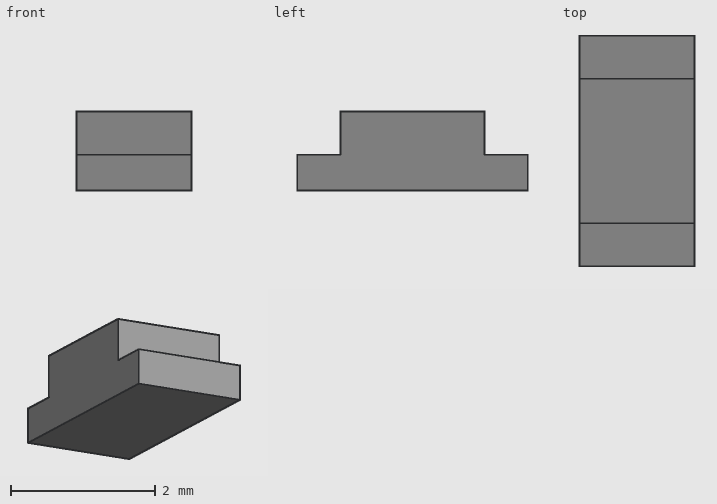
import cadquery as cq

width = 1.6
base_length = 3.2
body_length = 2.0
total_height = 1.1
base_height = 0.5
body_height = total_height - base_height

base = cq.Workplane("XY").box(width, base_length, base_height, centered=(True, True, False))

body = (
    cq.Workplane("XY")
    .workplane(offset=base_height)
    .box(width, body_length, body_height, centered=(True, True, False))
)

result = base.union(body).clean()